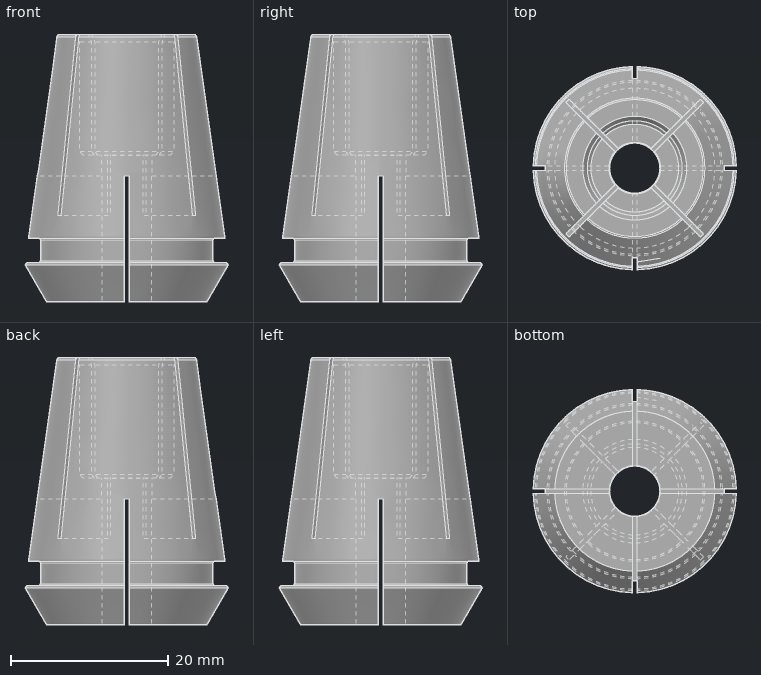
import cadquery as cq
import math

height = 34.0

flange_radius = 12.92
flange_rim_z = 4.73
flange_top_z = 5.03
flange_top_radius = 12.65
nose_angle = 30.0
nose_chamfer_height = 0.2
nose_chamfer_width = 0.15
groove_radius = 10.95
groove_top_z = 8.1
groove_corner_chamfer = 0.2
cone_base_radius = 12.48
cone_base_land = 0.17
cone_angle = 8.0
top_chamfer_height = 0.35
top_chamfer_width = 0.2

bore_radius = 6.35 / 2
bore_lip_chamfer = 0.1
counterbore_radius = 6.02
counterbore_floor_z = 18.7
floor_chamfer = 0.45
mouth_chamfer_width = 0.58
mouth_chamfer_height = 1.0

slit_width = 0.58
lower_slit_top_z = 15.98
upper_slit_floor_z = 11.0
slit_length = 3 * flange_radius


def revolve_profile(points):
    return cq.Workplane("XZ").polyline(points).close().revolve(360, (0, 0, 0), (0, 1, 0))


def make_body():
    nose_radius = flange_radius - (flange_rim_z - nose_chamfer_height) * math.tan(math.radians(nose_angle))
    cone_base_z = groove_top_z + cone_base_land
    cone_top_z = height - top_chamfer_height
    cone_top_radius = cone_base_radius - (cone_top_z - cone_base_z) * math.tan(math.radians(cone_angle))
    return revolve_profile([
        (0, 0),
        (nose_radius - nose_chamfer_width, 0),
        (nose_radius, nose_chamfer_height),
        (flange_radius, flange_rim_z),
        (flange_top_radius, flange_top_z),
        (groove_radius + groove_corner_chamfer, flange_top_z),
        (groove_radius, flange_top_z + groove_corner_chamfer),
        (groove_radius, groove_top_z - groove_corner_chamfer),
        (groove_radius + groove_corner_chamfer, groove_top_z),
        (cone_base_radius, groove_top_z),
        (cone_base_radius, cone_base_z),
        (cone_top_radius, cone_top_z),
        (cone_top_radius - top_chamfer_width, height),
        (0, height),
    ])


def make_bore():
    return revolve_profile([
        (0, 0),
        (bore_radius, 0),
        (bore_radius, counterbore_floor_z - bore_lip_chamfer),
        (bore_radius + bore_lip_chamfer, counterbore_floor_z),
        (counterbore_radius - floor_chamfer, counterbore_floor_z),
        (counterbore_radius, counterbore_floor_z + floor_chamfer),
        (counterbore_radius, height - mouth_chamfer_height),
        (counterbore_radius + mouth_chamfer_width, height),
        (0, height),
    ])


def make_slit(bottom_z, top_z, angle):
    """Slit right across the part, through the axis."""
    slit = cq.Workplane("XY").workplane(offset=bottom_z).rect(slit_length, slit_width)
    return slit.extrude(top_z - bottom_z).rotate((0, 0, 0), (0, 0, 1), angle)


result = make_body().cut(make_bore())

for angle in (0, 90):
    result = result.cut(make_slit(0, lower_slit_top_z, angle))

for angle in (45, 135):
    result = result.cut(make_slit(upper_slit_floor_z, height, angle))